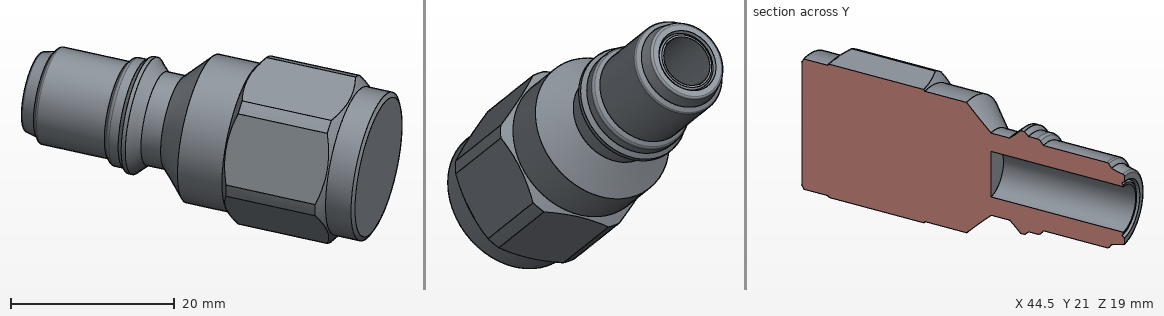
import cadquery as cq
import math

length = 44.5
body_radius = 9.3

tip_radius = 5.0
tip_round = 0.3
tip_cone_end_x = 1.8
tip_cone_end_radius = 5.45
stem_radius = 6.1
stem_start_x = 2.25
stem_round = 0.3

collar_start_x = 11.15
land_radius = 6.8
land_start_x = 11.75
land_round = 0.6
land_end_x = 13.2
ridge_radius = 7.35
ridge_start_x = 13.8
ridge_end_x = 14.35

groove_radius = 5.87
groove_start_x = 15.85
groove_end_x = 18.4
shoulder_end_x = 21.75

rim_chamfer_length = 0.3
rim_chamfer_depth = 0.6

hex_across_flats = 19.0
hex_corner_radius = 10.5
hex_start_x = 27.5
hex_end_x = 40.9
hex_chamfer_length = 0.95

mouth_radius = 3.95
groove_floor_x = 0.35
groove_floor_radius = 3.75
lip_x = 0.2
lip_radius = 3.45
bore_radius = 3.2
bore_depth = 18.4


def revolve_profile(points):
    """Revolve a closed (x, radius) outline around the X axis."""
    return cq.Workplane("XY").polyline(points).close().revolve(360, (0, 0, 0), (1, 0, 0))


def round_corner(before, corner, after, radius):
    """Return the start, middle and end of an arc that rounds a profile corner."""
    corner = cq.Vector(*corner)
    to_before = (cq.Vector(*before) - corner).normalized()
    to_after = (cq.Vector(*after) - corner).normalized()
    half_angle = to_before.getAngle(to_after) / 2
    tangent_length = radius / math.tan(half_angle)
    middle_distance = radius / math.sin(half_angle) - radius
    bisector = (to_before + to_after).normalized()
    return (
        corner + to_before * tangent_length,
        corner + bisector * middle_distance,
        corner + to_after * tangent_length,
    )


def make_turned_body():
    tip_cone_end = (tip_cone_end_x, tip_cone_end_radius)
    stem_start = (stem_start_x, stem_radius)
    stem_end = (collar_start_x, stem_radius)
    land_start = (land_start_x, land_radius)
    land_end = (land_end_x, land_radius)
    tip_arc = round_corner((0, 0), (0, tip_radius), tip_cone_end, tip_round)
    stem_arc = round_corner(tip_cone_end, stem_start, stem_end, stem_round)
    land_arc = round_corner(stem_end, land_start, land_end, land_round)

    outline = cq.Workplane("XY").moveTo(0, 0)
    for corner_arc, line_end in (
        (tip_arc, tip_cone_end),
        (stem_arc, stem_end),
        (land_arc, land_end),
    ):
        start, middle, end = corner_arc
        outline = outline.lineTo(start.x, start.y).threePointArc(middle, end).lineTo(*line_end)
    outline = outline.polyline([
        (ridge_start_x, ridge_radius),
        (ridge_end_x, ridge_radius),
        (groove_start_x, groove_radius),
        (groove_end_x, groove_radius),
        (shoulder_end_x, body_radius),
        (length - rim_chamfer_length, body_radius),
        (length, body_radius - rim_chamfer_depth),
        (length, 0),
    ], includeCurrent=True)
    return outline.close().revolve(360, (0, 0, 0), (1, 0, 0))


def make_hexagon():
    """Hexagon with flats facing up and down, trimmed by a chamfered round blank."""
    prism = (
        cq.Workplane("YZ", origin=(hex_start_x, 0, 0))
        .polygon(6, hex_across_flats, circumscribed=True)
        .extrude(hex_end_x - hex_start_x)
        .rotate((0, 0, 0), (1, 0, 0), 90)
    )
    blank = revolve_profile([
        (hex_start_x, 0),
        (hex_start_x, body_radius),
        (hex_start_x + hex_chamfer_length, hex_corner_radius),
        (hex_end_x - hex_chamfer_length, hex_corner_radius),
        (hex_end_x, body_radius),
        (hex_end_x, 0),
    ])
    return prism.intersect(blank)


def make_bore():
    return revolve_profile([
        (0, 0),
        (0, mouth_radius),
        (groove_floor_x, groove_floor_radius),
        (lip_x, lip_radius),
        (lip_x, bore_radius),
        (bore_depth, bore_radius),
        (bore_depth, 0),
    ])


result = make_turned_body().union(make_hexagon()).cut(make_bore())